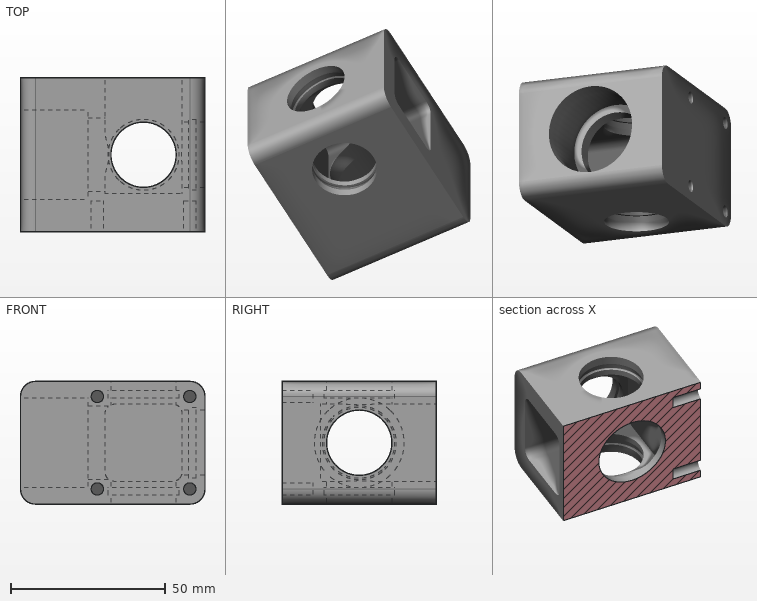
import cadquery as cq

length = 59.9
width = 50.0
height = 39.9
corner_radius = 4.9

cube_x = 10.0
right_face = length / 2
left_face = -length / 2
front_face = -width / 2
back_face = width / 2
top_face = height / 2

cavity_side = 25.0
cavity_corner_radius = 3.0
cavity_half = cavity_side / 2
cavity_front = -cavity_half

port_diameter = 21.1
groove_diameter = 23.0
groove_offset = 3.0
groove_width = 2.4

socket_diameter = 29.1
socket_depth = 22.0
throat_diameter = 24.0

mount_hole_diameter = 4.0
mount_hole_depth = 10.0
mount_hole_spacing = 30.0


def cylinder(diameter, depth, start, direction):
    """Cylinder that starts at a point and runs along a direction."""
    return cq.Workplane(
        cq.Solid.makeCylinder(diameter / 2, depth, cq.Vector(*start), cq.Vector(*direction))
    )


def block():
    return cq.Workplane("XY").box(length, width, height).edges("|Y").fillet(corner_radius)


def cavity():
    depth = back_face - cavity_front
    return (
        cq.Workplane("XY")
        .box(cavity_side, depth, cavity_side)
        .edges("|Y")
        .fillet(cavity_corner_radius)
        .translate((cube_x, cavity_front + depth / 2, 0))
    )


def port(face_distance, direction):
    """Grooved bore from the cube centre out through the face in the given direction."""
    centre = cq.Vector(cube_x, 0, 0)
    outward = cq.Vector(*direction)
    groove_start = centre + outward * (face_distance - groove_offset - groove_width)
    bore = cylinder(port_diameter, face_distance, centre.toTuple(), direction)
    groove = cylinder(groove_diameter, groove_width, groove_start.toTuple(), direction)
    return bore.union(groove)


def tube_socket():
    socket = cylinder(socket_diameter, socket_depth, (left_face, 0, 0), (1, 0, 0))
    throat = cylinder(throat_diameter, cube_x - left_face, (left_face, 0, 0), (1, 0, 0))
    return socket.union(throat)


def mounting_holes():
    holes = cq.Workplane("XY")
    for x_side in (-1, 1):
        for z_side in (-1, 1):
            x = cube_x + x_side * mount_hole_spacing / 2
            z = z_side * mount_hole_spacing / 2
            hole = cylinder(mount_hole_diameter, mount_hole_depth, (x, front_face, z), (0, 1, 0))
            holes = holes.add(hole)
    return holes.combine()


result = block().cut(cavity())
for face_distance, direction in (
    (right_face - cube_x, (1, 0, 0)),
    (top_face, (0, 0, 1)),
    (top_face, (0, 0, -1)),
):
    result = result.cut(port(face_distance, direction))
result = result.cut(tube_socket()).cut(mounting_holes())